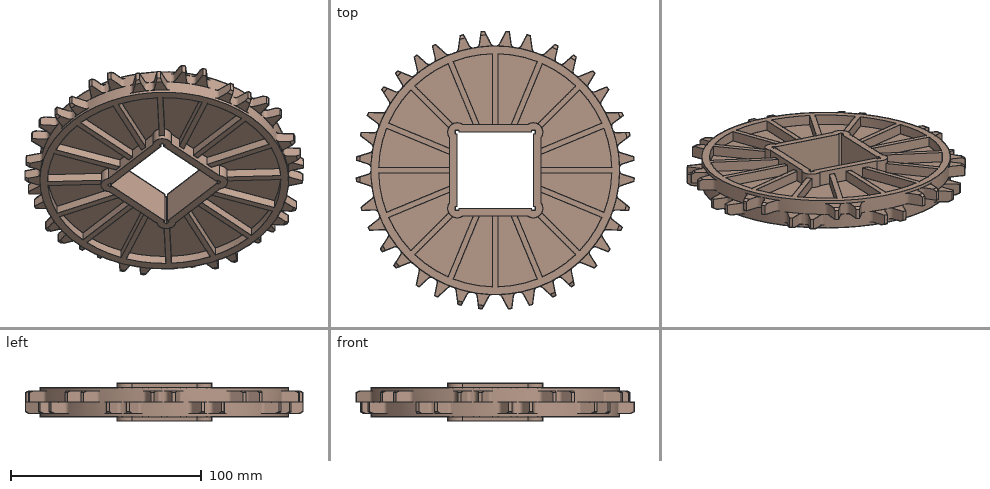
import cadquery as cq
import math

overall_width = 145.7

hub_height = 20.0
hub_side = 48.0
bore_side = 39.9
boss_radius = 5.0
relief_side = 1.9

rim_height = 15.3
rim_outer_radius = 65.1
rim_inner_radius = 61.0
web_thickness = 5.0

rib_count = 16
rib_width = 2.9

pairs_per_row = 9
row_height = 6.0
pair_turn = 0.5
tooth_offset = 5.5
tip_half_width = 0.9
root_half_width = 3.4
root_fillet = 2.0
root_depth = 2.2
tip_excess = 0.7
bevel_length = 1.9
bevel_height = 1.0

corner_y = tooth_offset - tip_half_width
turn_angle = math.radians(pair_turn)
corner_x = (overall_width / 2 - corner_y * math.sin(turn_angle)) / math.cos(turn_angle)
tip_radius = math.hypot(corner_x, corner_y)


def disc(radius, height):
    """Cylinder on the Z axis, centred on the XY plane."""
    return cq.Workplane("XY").circle(radius).extrude(height / 2, both=True)


def square_prism(side, height):
    """Square block centred on the origin."""
    return cq.Workplane("XY").box(side, side, height)


def make_wheel():
    """Rim, web and radial ribs."""
    wheel = disc(rim_outer_radius, rim_height)
    pocket_depth = (rim_height - web_thickness) / 2
    pocket = cq.Workplane("XY").circle(rim_inner_radius).extrude(pocket_depth)
    for rib in range(rib_count // 2):
        bar = cq.Workplane("XY").box(
            2 * rim_outer_radius, rib_width, pocket_depth, centered=(True, True, False)
        )
        pocket = pocket.cut(bar.rotate((0, 0, 0), (0, 0, 1), rib * 360 / rib_count))
    upper = pocket.translate((0, 0, web_thickness / 2))
    lower = upper.mirror("XY")
    return wheel.cut(upper).cut(lower)


def flank(middle, outward):
    """Points of one tooth edge: base inside the rim, root fillet start, middle and end, tip.

    The tooth points along +X, middle is the Y of its middle line, outward (1 or -1) is the flank side.
    """
    root = (rim_outer_radius, middle + outward * root_half_width)
    tip = (corner_x, middle + outward * tip_half_width)
    length = math.dist(root, tip)
    along = ((tip[0] - root[0]) / length, (tip[1] - root[1]) / length)
    normal = (-outward * along[1], outward * along[0])

    offset_point = (root[0] + root_fillet * normal[0], root[1] + root_fillet * normal[1])
    forward = offset_point[0] * along[0] + offset_point[1] * along[1]
    centre_distance = rim_outer_radius + root_fillet
    gap = math.hypot(*offset_point) ** 2 - centre_distance**2
    step = -forward + math.sqrt(forward**2 - gap)
    centre = (offset_point[0] + step * along[0], offset_point[1] + step * along[1])

    to_rim = (-centre[0] / centre_distance, -centre[1] / centre_distance)
    to_flank = (-normal[0], -normal[1])
    half_way = (to_rim[0] + to_flank[0], to_rim[1] + to_flank[1])
    half_way_length = math.hypot(*half_way)
    to_middle = (half_way[0] / half_way_length, half_way[1] / half_way_length)

    def on_fillet(direction):
        return (centre[0] + root_fillet * direction[0], centre[1] + root_fillet * direction[1])

    on_rim = on_fillet(to_rim)
    trimmed_tip = (tip[0] + tip_excess * along[0], tip[1] + tip_excess * along[1])
    base = (on_rim[0] - root_depth, on_rim[1])
    return base, on_rim, on_fillet(to_middle), on_fillet(to_flank), trimmed_tip


def make_tooth(middle):
    """Trapezoidal tooth along +X with filleted roots, standing on the XY plane."""
    base, on_rim, on_middle, on_flank, tip = flank(middle, 1)
    far_base, far_on_rim, far_on_middle, far_on_flank, far_tip = flank(middle, -1)
    return (
        cq.Workplane("XY")
        .moveTo(*base)
        .lineTo(*on_rim)
        .threePointArc(on_middle, on_flank)
        .lineTo(*tip)
        .lineTo(*far_tip)
        .lineTo(*far_on_flank)
        .threePointArc(far_on_middle, far_on_rim)
        .lineTo(*far_base)
        .close()
        .extrude(row_height)
    )


def make_tip_envelope():
    """Disc with a bevelled upper edge that trims one row of teeth."""
    return (
        cq.Workplane("XZ")
        .lineTo(tip_radius, 0)
        .lineTo(tip_radius, row_height - bevel_height)
        .lineTo(tip_radius - bevel_length, row_height)
        .lineTo(0, row_height)
        .close()
        .revolve(360, (0, 0, 0), (0, 1, 0))
    )


def make_teeth():
    """Evenly spaced tooth pairs on the upper side of the XY plane, the first pair along +X."""
    envelope = make_tip_envelope()
    pair = [make_tooth(side * tooth_offset).intersect(envelope).val() for side in (1, -1)]
    turns = [index * 360 / pairs_per_row for index in range(pairs_per_row)]
    return [tooth.rotate((0, 0, 0), (0, 0, 1), turn) for turn in turns for tooth in pair]


def make_hub():
    """Square sleeve with round bosses on its corners."""
    wall = (hub_side - bore_side) / 2
    sleeve = square_prism(hub_side, hub_height).edges("|Z").fillet(wall)
    bosses = (
        cq.Workplane("XY")
        .rect(bore_side, bore_side, forConstruction=True)
        .vertices()
        .circle(boss_radius)
        .extrude(hub_height / 2, both=True)
    )
    return sleeve.union(bosses)


def make_bore():
    """Square through hole with a small relief in each corner."""
    reliefs = (
        cq.Workplane("XY")
        .rect(bore_side, bore_side, forConstruction=True)
        .vertices()
        .rect(relief_side, relief_side)
        .extrude(hub_height / 2, both=True)
    )
    return square_prism(bore_side, hub_height).union(reliefs)


result = make_wheel()
for tooth in make_teeth():
    upper_tooth = tooth.rotate((0, 0, 0), (0, 0, 1), 180 - pair_turn)
    lower_tooth = tooth.mirror("XY").rotate((0, 0, 0), (0, 0, 1), pair_turn)
    result = result.union(cq.Workplane(upper_tooth)).union(cq.Workplane(lower_tooth))
result = result.union(make_hub()).cut(make_bore())